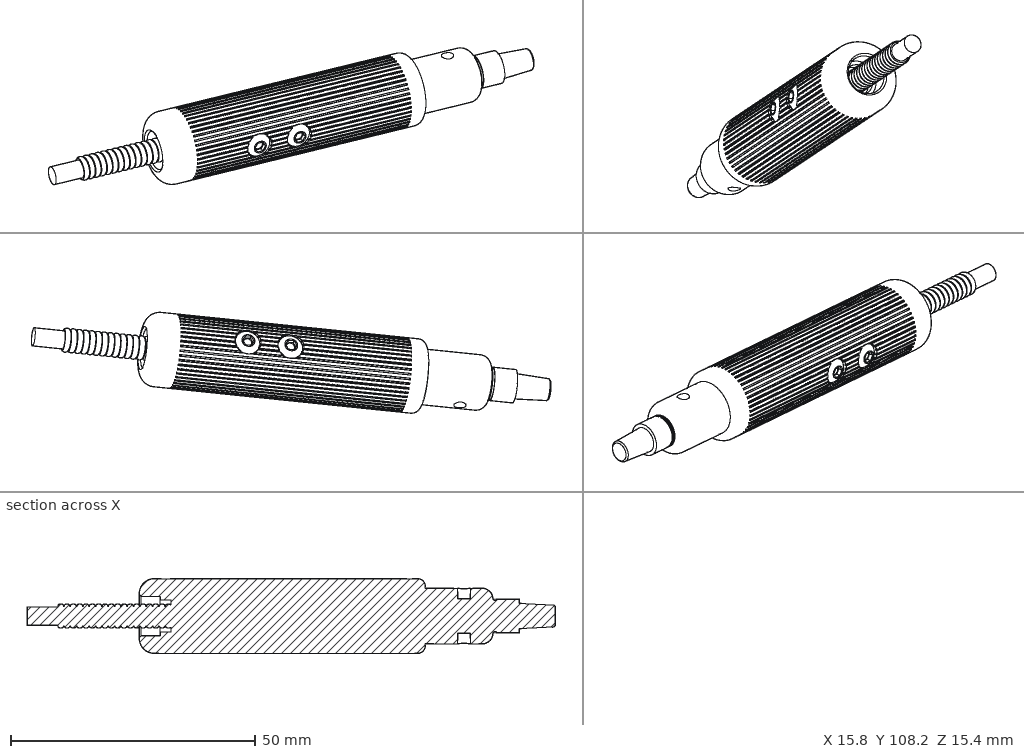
import cadquery as cq
import math

TOTAL_LENGTH = 108.2

CABLE_DIA = 3.8
RELIEF_START = 6.3
RIB_PITCH = 1.3
RIB_DIA = 5.0
RIB_EDGE_DIA = 4.4
RIB_ROOT_DIA = 4.1
RIB_GAP = 0.1

GRIP_DIA = 15.4
GRIP_START = 22.9
GRIP_END = 81.5
GRIP_REAR_RADIUS = 3.1
GRIP_FRONT_RADIUS = 1.6
BORE_RIM_DIA = 8.9
BORE_DIA = 8.0
BORE_DEPTH = 4.3
INNER_BORE_DIA = 6.5
INNER_BORE_DEPTH = 6.5

GROOVE_COUNT = 48
GROOVE_START = 29.3
GROOVE_END = 77.7
GROOVE_WIDTH = 0.3
GROOVE_DEPTH = 0.3

NOSE_DIA = 11.5
NOSE_END = 95.4
NOSE_RADIUS = 2.3
PIN_HOLE_DIA = 2.5
PIN_HOLE_Y = 89.5
PIN_HOLE_DEPTH = 2.2

COLLAR_DIA = 6.9
COLLAR_END = 100.8
COLLAR_GROOVE_GAP = 0.2
COLLAR_GROOVE_WIDTH = 0.4
COLLAR_GROOVE_DEPTH = 0.2
TIP_BASE_DIA = 5.3
TIP_END_DIA = 4.5
TIP_CHAMFER = 0.3

SCREW_POSITIONS = (43.4, 52.3)
SCREW_SPAN = 15.8
SCREW_HEAD_DIA = 5.2
SCREW_FLAT_DIA = 2.7
SCREW_DOME_HEIGHT = 1.0
SCREW_POCKET_DIA = 5.4
SCREW_SEAT_DEPTH = 1.6
SCREW_SEAT = GRIP_DIA / 2 - SCREW_SEAT_DEPTH
SCREW_DOME_BULGE = 0.1
SOCKET_CORNER_DIA = 2.4
SOCKET_DEPTH = 0.9
SOCKET_CONE_DIA = 1.7
SOCKET_CONE_DEPTH = 0.5


def cylinder(diameter, start, end):
    """Cylinder about the Y axis from start to end."""
    return cq.Workplane("XZ", origin=(0, start, 0)).circle(diameter / 2).extrude(start - end)


def turn(outline):
    """Close an outline drawn in the XY plane and revolve it about the Y axis."""
    return outline.close().revolve(360, (0, 0, 0), (0, 1, 0))


def make_stepped_bore():
    """Clearance around the strain relief: bevelled rim, bore and narrower inner bore."""
    rim_bevel = (BORE_RIM_DIA - BORE_DIA) / 2
    outline = [
        (0, GRIP_START),
        (BORE_RIM_DIA / 2, GRIP_START),
        (BORE_DIA / 2, GRIP_START + rim_bevel),
        (BORE_DIA / 2, GRIP_START + BORE_DEPTH),
        (INNER_BORE_DIA / 2, GRIP_START + BORE_DEPTH),
        (INNER_BORE_DIA / 2, GRIP_START + INNER_BORE_DEPTH),
        (0, GRIP_START + INNER_BORE_DEPTH),
    ]
    return turn(cq.Workplane("XY").polyline(outline))


def make_grip():
    grip = cylinder(GRIP_DIA, GRIP_START, GRIP_END)
    grip = grip.faces("<Y").edges().fillet(GRIP_REAR_RADIUS)
    grip = grip.faces(">Y").edges().fillet(GRIP_FRONT_RADIUS)
    return grip.cut(make_stepped_bore())


def make_grip_grooves():
    """Narrow bars that straddle the grip surface, one for each groove."""
    groove_length = GROOVE_END - GROOVE_START
    groove_middle = (GROOVE_START + GROOVE_END) / 2
    groove = cq.Workplane("XY").box(2 * GROOVE_DEPTH, groove_length, GROOVE_WIDTH)
    groove = groove.translate((GRIP_DIA / 2, groove_middle, 0))
    groove_step = 360 / GROOVE_COUNT
    grooves = cq.Workplane("XY")
    for index in range(GROOVE_COUNT):
        angle = (index + 0.5) * groove_step
        grooves = grooves.add(groove.rotate((0, 0, 0), (0, 1, 0), angle))
    return grooves.combine()


def make_nose():
    nose = cylinder(NOSE_DIA, GRIP_END - GRIP_FRONT_RADIUS, NOSE_END)
    nose = nose.faces(">Y").edges().fillet(NOSE_RADIUS)
    for side in (1, -1):
        floor = cq.Workplane("XY", origin=(0, PIN_HOLE_Y, side * (NOSE_DIA / 2 - PIN_HOLE_DEPTH)))
        nose = nose.cut(floor.circle(PIN_HOLE_DIA / 2).extrude(side * NOSE_DIA))
    return nose


def make_collar_and_tip():
    groove_start = NOSE_END + COLLAR_GROOVE_GAP
    groove_end = groove_start + COLLAR_GROOVE_WIDTH
    collar_radius = COLLAR_DIA / 2
    groove_radius = collar_radius - COLLAR_GROOVE_DEPTH
    outline = [
        (0, NOSE_END - NOSE_RADIUS),
        (collar_radius, NOSE_END - NOSE_RADIUS),
        (collar_radius, groove_start),
        (groove_radius, groove_start),
        (groove_radius, groove_end),
        (collar_radius, groove_end),
        (collar_radius, COLLAR_END),
        (TIP_BASE_DIA / 2, COLLAR_END),
        (TIP_END_DIA / 2, TOTAL_LENGTH),
        (0, TOTAL_LENGTH),
    ]
    body = turn(cq.Workplane("XY").polyline(outline))
    return body.faces(">Y").edges().chamfer(TIP_CHAMFER)


def make_cable():
    return cylinder(CABLE_DIA, 0, GRIP_START + INNER_BORE_DEPTH + RIB_PITCH)


def make_strain_relief():
    rib_count = math.ceil((GRIP_START + INNER_BORE_DEPTH - RELIEF_START) / RIB_PITCH)
    rib_width = RIB_PITCH - RIB_GAP
    root_radius = RIB_ROOT_DIA / 2
    edge_radius = RIB_EDGE_DIA / 2
    outline = cq.Workplane("XY").moveTo(0, RELIEF_START)
    for index in range(rib_count):
        rib_start = RELIEF_START + index * RIB_PITCH
        rib_end = rib_start + rib_width
        crest = (RIB_DIA / 2, rib_start + rib_width / 2)
        outline = (
            outline.lineTo(root_radius, rib_start)
            .lineTo(edge_radius, rib_start)
            .threePointArc(crest, (edge_radius, rib_end))
            .lineTo(root_radius, rib_end)
        )
    return turn(outline.lineTo(0, rib_end))


def make_screw():
    """Screw head on the +X side at Y = 0, turned about the X axis."""
    top = SCREW_SPAN / 2
    head_radius = SCREW_HEAD_DIA / 2
    flat_radius = SCREW_FLAT_DIA / 2
    shoulder = top - SCREW_DOME_HEIGHT
    dome_middle = (
        (shoulder + top) / 2 + SCREW_DOME_BULGE,
        (head_radius + flat_radius) / 2 + SCREW_DOME_BULGE,
    )
    head = (
        cq.Workplane("XY")
        .moveTo(SCREW_SEAT, 0)
        .lineTo(SCREW_SEAT, head_radius)
        .lineTo(shoulder, head_radius)
        .threePointArc(dome_middle, (top, flat_radius))
        .lineTo(top, 0)
        .close()
        .revolve(360, (0, 0, 0), (1, 0, 0))
    )
    socket = cq.Workplane("YZ", origin=(top, 0, 0)).polygon(6, SOCKET_CORNER_DIA).extrude(-SOCKET_DEPTH)
    socket_floor = cq.Vector(top - SOCKET_DEPTH, 0, 0)
    inward = cq.Vector(-1, 0, 0)
    cone = cq.Solid.makeCone(SOCKET_CONE_DIA / 2, 0, SOCKET_CONE_DEPTH, socket_floor, inward)
    return head.cut(socket).cut(cq.Workplane(cone))


def make_screw_pocket():
    """Clearance around a screw head on the +X side at Y = 0."""
    return cq.Workplane("YZ", origin=(SCREW_SEAT, 0, 0)).circle(SCREW_POCKET_DIA / 2).extrude(GRIP_DIA / 2)


def place_on_grip(shape, y_position, side_angle):
    return shape.rotate((0, 0, 0), (0, 1, 0), side_angle).translate((0, y_position, 0))


grip = make_grip().cut(make_grip_grooves())
for screw_y in SCREW_POSITIONS:
    for side_angle in (0, 180):
        grip = grip.cut(place_on_grip(make_screw_pocket(), screw_y, side_angle))
        grip = grip.union(place_on_grip(make_screw(), screw_y, side_angle))

result = (
    grip.union(make_nose())
    .union(make_collar_and_tip())
    .union(make_cable())
    .union(make_strain_relief())
)